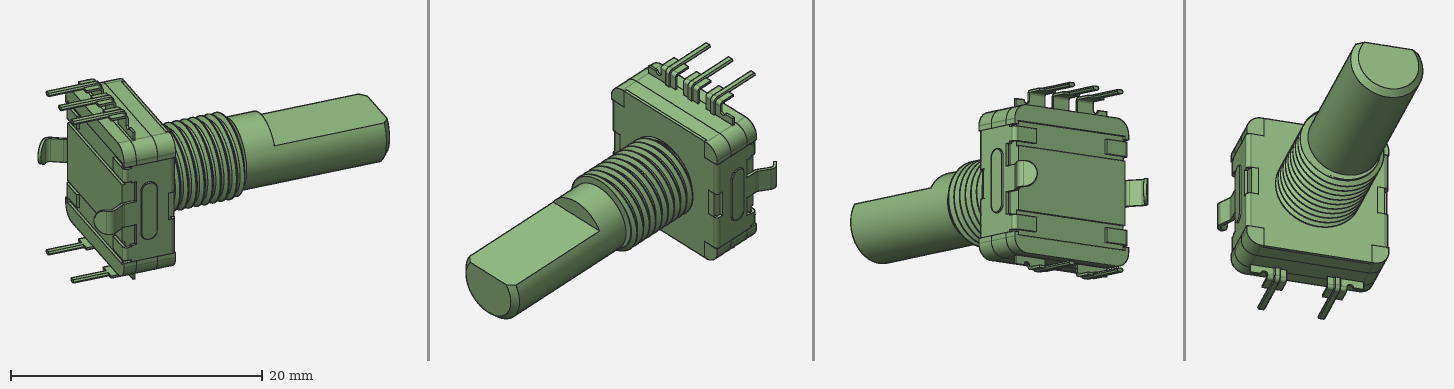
import cadquery as cq
import math


shaft_radius = 3.0
shaft_tip = 20.0
shaft_shoulder = 7.4
neck_radius = 1.8
flat_height = 1.5
flat_length = 10.0
tip_chamfer = 0.5

bushing_length = 7.0
thread_turns = 10
thread_pitch = bushing_length / thread_turns
thread_root_radius = 3.14
thread_crest_radius = 3.52
thread_base_width = 0.55
thread_crest_width = 0.08
thread_sink = 0.05

housing_x = 11.8
housing_z = 12.0
corner_radius = 1.25
flange_back = -1.57
wafer_back = -3.4
base_back = -4.48

sheet = 0.25
sheet_bend = 0.33
strap_half_z = 4.35
front_plate_x = 8.96
side_recess_x = 5.53
strap_end = -3.85
notch_half_z = 1.2
notch_depth = 0.6
notch_floor_x = 4.95
emboss_centre_y = -2.3
emboss_width = 1.43
emboss_length = 5.22
emboss_height = 0.1
emboss_taper = 27

claw_z = 3.58
claw_width = 1.18
claw_tip_x = 3.65
claw_root_half_z = 2.85
groove_inner_z = 2.6
groove_outer_z = 4.62

leg_width = 2.1
leg_start_y = -4.56
leg_elbow = (6.6, -5.88)
leg_tip = (5.58, -6.9)
leg_elbow_radius = 0.47

terminal_pitch = 2.5
terminal_front = -3.0
terminal_sheet = 0.2
terminal_bend = 0.22
terminal_width = 1.62
terminal_root_z = 4.68
wide_end = base_back
upper_pin_z = 7.5
lower_pin_z = 7.0
pin_width = 0.6
pin_flat_width = 0.38
pin_thickness = 0.3
pin_end = -7.5
wing_outer_x = 4.7
wing_top_z = 6.68
wing_notch_x = 3.58
wing_notch_radius = 0.28


def block(x0, x1, y0, y1, z0, z1):
    """Box between opposite corners."""
    return cq.Workplane("XY").box(x1 - x0, y1 - y0, z1 - z0, centered=False).translate((x0, y0, z0))


def disc(radius, y0, y1):
    """Cylinder about the Y axis between two stations."""
    return cq.Workplane("XZ", origin=(0, y1, 0)).circle(radius).extrude(y1 - y0)


def bent_sheet(path, bend_radius, section):
    """Sweep a cross-section drawn at the start of a path along it, rounding the bends."""
    wire = cq.Wire.makePolygon([cq.Vector(*p) for p in path]).fillet(bend_radius)
    return section.sweep(cq.Workplane(wire))


def mirrored_x(body):
    """The body together with its mirror image on the other X side."""
    return body.union(body.mirror("YZ"))


def make_shaft():
    shaft = disc(shaft_radius, shaft_shoulder, shaft_tip).faces(">Y").chamfer(tip_chamfer)
    shaft = shaft.cut(
        block(-shaft_radius, shaft_radius, shaft_tip - flat_length, shaft_tip, flat_height, shaft_radius)
    )
    return shaft.union(disc(neck_radius, flange_back, shaft_shoulder))


def make_thread():
    """Right-handed ridge, trimmed to the bushing length."""
    helix = cq.Wire.makeHelix(thread_pitch, bushing_length + 2 * thread_pitch, thread_root_radius)
    root = thread_root_radius - thread_sink
    ridge = (
        cq.Workplane("XZ")
        .moveTo(root, -thread_base_width / 2)
        .lineTo(thread_crest_radius, -thread_crest_width / 2)
        .lineTo(thread_crest_radius, thread_crest_width / 2)
        .lineTo(root, thread_base_width / 2)
        .close()
        .sweep(cq.Workplane(helix), isFrenet=True)
        .rotate((0, 0, 0), (1, 0, 0), -90)
        .translate((0, -thread_pitch, 0))
    )
    return ridge.intersect(disc(2 * thread_crest_radius, 0, bushing_length))


def housing_layer(front, back):
    """Slice of the housing with flat recesses in both sides for the bracket."""
    layer = (
        cq.Workplane("XZ", origin=(0, front, 0))
        .rect(housing_x, housing_z)
        .extrude(front - back)
        .edges("|Y")
        .fillet(corner_radius)
    )
    recess = block(side_recess_x, housing_x / 2, back, front, -strap_half_z, strap_half_z)
    return layer.cut(mirrored_x(recess))


def front_plate():
    """Flat of the bracket, let into the flange and notched where the sides bend away."""
    plate = block(-front_plate_x / 2, front_plate_x / 2, -sheet, 0, -housing_z / 2, housing_z / 2)
    strap = block(-side_recess_x, side_recess_x, -sheet, 0, -strap_half_z, strap_half_z)
    gap = block(notch_floor_x, side_recess_x, -sheet, 0, -notch_half_z, notch_half_z)
    return plate.union(strap).cut(mirrored_x(gap))


def make_bushing():
    flange = housing_layer(0, flange_back).cut(front_plate())
    sleeve = disc(thread_root_radius, flange_back, bushing_length)
    return flange.union(sleeve).union(make_thread()).cut(disc(neck_radius, flange_back, bushing_length))


def make_base():
    base = housing_layer(wafer_back, base_back)
    for low, high in ((groove_inner_z, groove_outer_z), (-groove_outer_z, -groove_inner_z)):
        base = base.cut(
            block(-side_recess_x, side_recess_x, base_back, base_back + sheet, low, high)
        )
    return base


def sheet_section(x, y, z, width):
    """Cross-section of a bracket strip that starts out toward -Y."""
    return cq.Workplane("XZ", origin=(x, y, z)).rect(sheet, width)


def make_claw(z):
    x = housing_x / 2 - sheet / 2
    y = base_back + sheet / 2
    path = [(x, strap_end, z), (x, y, z), (claw_tip_x, y, z)]
    return bent_sheet(path, sheet_bend - sheet / 2, sheet_section(x, strap_end, z, claw_width))


def make_leg():
    """Snap leg with an elbow and a round tip, on the +X side."""
    x = housing_x / 2 - sheet / 2
    run_x = leg_tip[0] - leg_elbow[0]
    run_y = leg_tip[1] - leg_elbow[1]
    run = math.hypot(run_x, run_y)
    along = (run_x / run, run_y / run)
    tip_radius = leg_width / 2
    eye = (leg_tip[0] - tip_radius * along[0], leg_tip[1] - tip_radius * along[1], 0)
    path = [(x, wafer_back, 0), (x, leg_start_y, 0), (*leg_elbow, 0), eye]
    leg = bent_sheet(path, leg_elbow_radius, sheet_section(x, wafer_back, 0, leg_width))
    tip_plane = cq.Plane(origin=eye, xDir=(0, 0, 1), normal=(-along[1], along[0], 0))
    tip = (
        cq.Workplane(tip_plane)
        .moveTo(-tip_radius, 0)
        .threePointArc((0, tip_radius), (tip_radius, 0))
        .close()
        .extrude(sheet / 2, both=True)
    )
    return leg.union(tip)


def bracket_side():
    """Side plate at +X with its bend, notch, emboss, snap leg and two claws."""
    outer_x = housing_x / 2
    inner_x = outer_x - sheet
    side = block(inner_x, outer_x, strap_end, 0, -strap_half_z, strap_half_z)
    side = side.union(block(side_recess_x, inner_x, -sheet, 0, -strap_half_z, strap_half_z))
    side = side.edges("|Z and >X and >Y").fillet(sheet_bend)
    side = side.cut(block(side_recess_x, outer_x, -notch_depth, 0, -notch_half_z, notch_half_z))
    side = side.cut(
        block(inner_x, outer_x, strap_end, wafer_back, -claw_root_half_z, claw_root_half_z)
    )
    emboss = (
        cq.Workplane("YZ", origin=(outer_x, emboss_centre_y, 0))
        .slot2D(emboss_length, emboss_width, 90)
        .extrude(emboss_height, taper=emboss_taper)
    )
    side = side.union(emboss).union(make_leg())
    for z in (claw_z, -claw_z):
        side = side.union(make_claw(z))
    return side


def make_bracket():
    plate = front_plate().cut(disc(thread_root_radius, -sheet, 0))
    return plate.union(mirrored_x(bracket_side()))


def make_terminal(pin_z, wing_side):
    """Upward terminal centred on X = 0; wing_side is -1, 0 or 1 for the X side of its wing."""
    y = terminal_front - terminal_sheet / 2
    top = pin_z - terminal_sheet / 2
    start = (0, y, terminal_root_z)
    section = cq.Workplane("XY", origin=start)
    plate = bent_sheet(
        [start, (0, y, top), (0, wide_end, top)],
        terminal_bend,
        section.rect(terminal_width, terminal_sheet),
    )
    inner = -terminal_sheet / 2
    outer = inner + pin_thickness
    middle = (inner + outer) / 2
    pin_section = section.polyline(
        [
            (-pin_flat_width / 2, inner),
            (pin_flat_width / 2, inner),
            (pin_width / 2, middle),
            (pin_flat_width / 2, outer),
            (-pin_flat_width / 2, outer),
            (-pin_width / 2, middle),
        ]
    ).close()
    pin = bent_sheet([start, (0, y, top), (0, pin_end, top)], terminal_bend, pin_section)
    terminal = plate.union(pin)
    if wing_side:
        wing_length = wing_outer_x - terminal_pitch
        back = terminal_front - terminal_sheet
        wing = block(0, wing_length, back, terminal_front, terminal_root_z, wing_top_z)
        notch = (
            cq.Workplane("XZ", origin=(wing_notch_x - terminal_pitch, terminal_front, wing_top_z))
            .circle(wing_notch_radius)
            .extrude(terminal_sheet)
        )
        wing = wing.cut(notch)
        if wing_side < 0:
            wing = wing.mirror("YZ")
        terminal = terminal.union(wing)
    return terminal


def make_terminals():
    terminals = []
    for side in (-1, 0, 1):
        terminals.append(make_terminal(upper_pin_z, side).translate((side * terminal_pitch, 0, 0)))
    for side in (-1, 1):
        lower = make_terminal(lower_pin_z, side).mirror("XY")
        terminals.append(lower.translate((side * terminal_pitch, 0, 0)))
    return terminals


shaft = make_shaft()
bushing = make_bushing()
base = make_base()
bracket = make_bracket()
terminals = make_terminals()
wafer = housing_layer(flange_back, wafer_back)
for terminal in terminals:
    wafer = wafer.cut(terminal)

result = cq.Compound.makeCompound(
    [
        shaft.solids().val(),
        bushing.solids().val(),
        wafer.solids().val(),
        base.solids().val(),
        bracket.solids().val(),
        *[terminal.solids().val() for terminal in terminals],
    ]
)